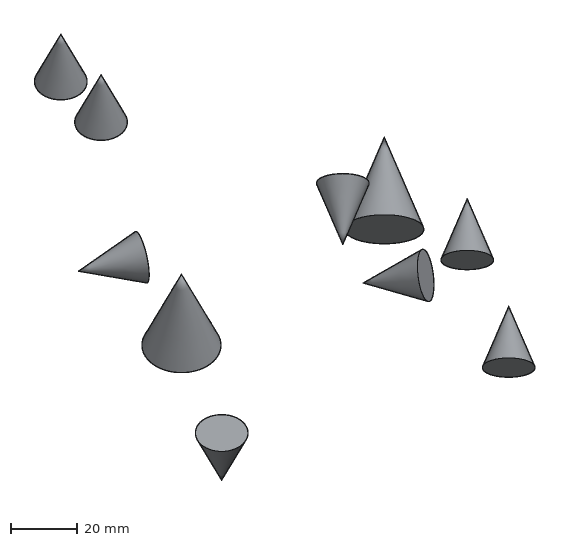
import cadquery as cq

overall_length = 176.0
cone_count = 5
pitch_in_radii = 5
height_in_radii = 2.5
large_cone_enlargement = 1.5

row_length_in_radii = (cone_count - 1) * pitch_in_radii + 2
small_radius = overall_length / row_length_in_radii
large_radius = small_radius * large_cone_enlargement
pitch = small_radius * pitch_in_radii
raised_base_z = small_radius * height_in_radii

UP = cq.Vector(0, 0, 1)
DOWN = cq.Vector(0, 0, -1)
FORWARD = cq.Vector(0, -1, 0)


def make_cone(position, radius, pointing, base_z=0.0):
    """Pointed cone with its base centre at a numbered place along the row."""
    base_center = cq.Vector(position * pitch, 0, base_z)
    height = radius * height_in_radii
    return cq.Solid.makeCone(radius, 0, height, base_center, pointing)


upright_cone = make_cone(0, small_radius, UP)
raised_cone = make_cone(1, small_radius, UP, raised_base_z)
forward_cone = make_cone(2, small_radius, FORWARD)
large_cone = make_cone(3, large_radius, UP)
inverted_cone = make_cone(4, small_radius, DOWN)

result = cq.Compound.makeCompound(
    [upright_cone, raised_cone, forward_cone, large_cone, inverted_cone]
)